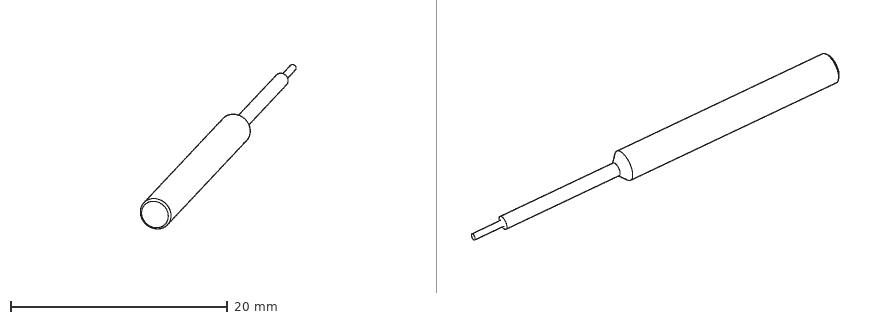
import cadquery as cq

total_length = 40.0
body_diameter = 3.0
shank_diameter = 1.3
tip_diameter = 0.65
body_length = 23.2
tip_length = 3.3
end_chamfer = 0.2
tip_root_fillet = 0.1

body_radius = body_diameter / 2
shank_radius = shank_diameter / 2
tip_radius = tip_diameter / 2

back_end = -total_length / 2
tip_end = total_length / 2
shoulder_start = back_end + body_length
shoulder_end = shoulder_start + body_radius - shank_radius
shank_end = tip_end - tip_length

half_profile = (
    cq.Workplane("XY")
    .moveTo(0, back_end)
    .lineTo(body_radius - end_chamfer, back_end)
    .lineTo(body_radius, back_end + end_chamfer)
    .lineTo(body_radius, shoulder_start)
    .lineTo(shank_radius, shoulder_end)
    .lineTo(shank_radius, shank_end)
    .lineTo(tip_radius + tip_root_fillet, shank_end)
    .radiusArc((tip_radius, shank_end + tip_root_fillet), tip_root_fillet)
    .lineTo(tip_radius, tip_end)
    .lineTo(0, tip_end)
    .close()
)

result = half_profile.revolve(360, (0, 0, 0), (0, 1, 0))